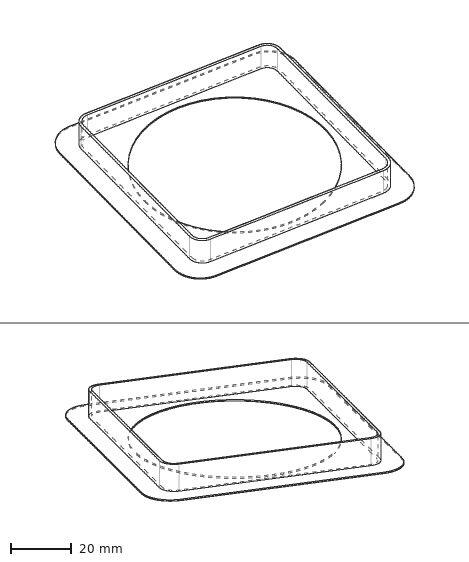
import cadquery as cq

flange_side = 91.0
flange_corner_radius = 10.0
flange_thickness = 0.5

total_height = 10.0
collar_side = 77.0
collar_corner_radius = 5.0
collar_wall = 1.0

opening_diameter = 70.0


def rounded_square_prism(side, corner_radius, height):
    """Square prism standing on Z = 0 with rounded vertical edges."""
    return cq.Workplane("XY").rect(side, side).extrude(height).edges("|Z").fillet(corner_radius)


def make_flange():
    flange = rounded_square_prism(flange_side, flange_corner_radius, flange_thickness)
    return flange.faces(">Z").workplane().hole(opening_diameter)


def make_collar():
    outer = rounded_square_prism(collar_side, collar_corner_radius, total_height)
    inner = rounded_square_prism(
        collar_side - 2 * collar_wall,
        collar_corner_radius - collar_wall,
        total_height,
    )
    return outer.cut(inner)


result = make_flange().union(make_collar())